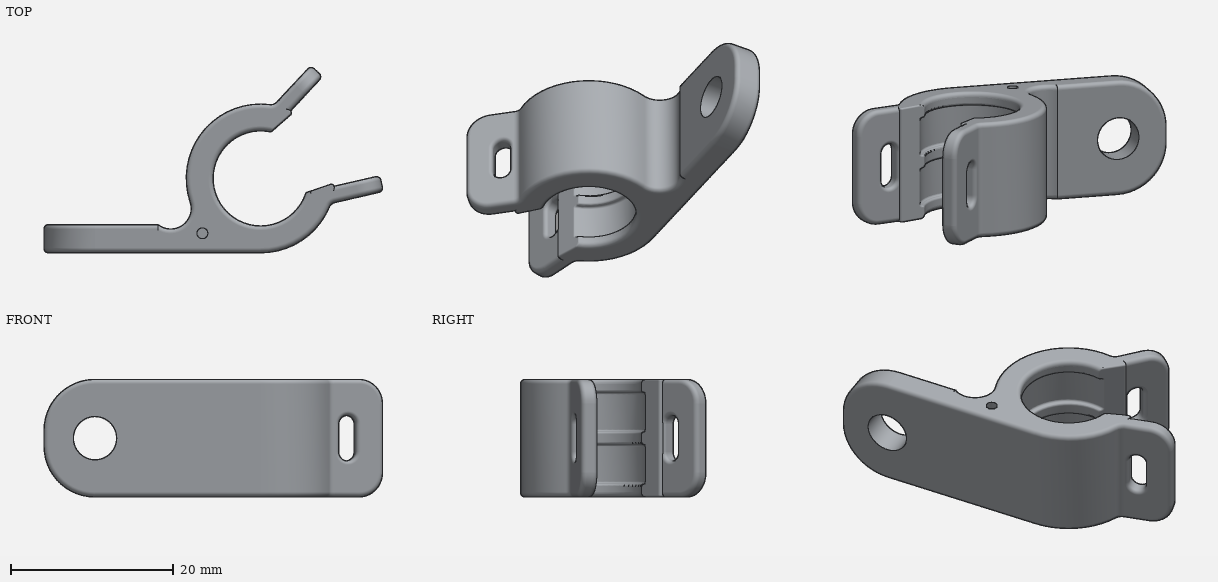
import cadquery as cq
import math

height = 14.5
edge_radius = 0.6

ring_outer_radius = 9.18
bore_radius = 5.85
groove_depth = 0.6
groove_bottom_z = 0.5
groove_top_z = 5.92

bar_thickness = 3.5
bar_end_distance = 26.7
bar_corner_radius = 6.3
screw_hole_diameter = 5.3
bar_hollow_radius = 2.5
bar_hollow_depth = 0.55

mouth_angle = 30.0
nose_radius = 0.35
nose_reach = 8.25
mouth_edge_radius = 0.2

tab_half_angle = 17.0
tab_inner_offset = 2.95
tab_thickness = 2.0
tab_reach = 14.4
tab_corner_radius = 3.0
tab_hollow_radius = 1.0
slot_reach = 9.95
slot_width = 2.15
slot_length = 5.6
slot_rim_radius = 0.5

pin_hole_diameter = 1.35
pin_hole_depth = 1.0
pin_hole_x = -7.18
pin_hole_y = -6.75

top = height / 2
bar_front = -ring_outer_radius
bar_back = bar_front + bar_thickness
screw_hole_x = bar_corner_radius - bar_end_distance
bar_middle_y = (bar_front + bar_back) / 2
tab_outer_offset = tab_inner_offset + tab_thickness
tab_middle_offset = (tab_inner_offset + tab_outer_offset) / 2
mouth_corner_along = math.sqrt(bore_radius**2 - tab_inner_offset**2)
UPPER = 1
LOWER = -1
SIDES = (UPPER, LOWER)


def polar(radius, angle):
    a = math.radians(angle)
    return radius * math.cos(a), radius * math.sin(a)


def beside_tab(along, offset, side):
    """Point given along a tab from the ring axis and outward from the mouth."""
    a = math.radians(mouth_angle + side * tab_half_angle)
    x = along * math.cos(a) - side * offset * math.sin(a)
    y = along * math.sin(a) + side * offset * math.cos(a)
    return x, y


def tab_hollow(side):
    """Ring end, middle and tab end of the hollow between the ring and a tab."""
    r = tab_hollow_radius
    centre_offset = tab_outer_offset + r
    centre_distance = ring_outer_radius + r
    centre_along = math.sqrt(centre_distance**2 - centre_offset**2)
    on_ring = ring_outer_radius / centre_distance
    turn = math.acos(centre_offset / centre_distance) / 2
    middle = (centre_along - r * math.sin(turn), centre_offset - r * math.cos(turn))
    return (
        beside_tab(centre_along * on_ring, centre_offset * on_ring, side),
        beside_tab(*middle, side),
        beside_tab(centre_along, tab_outer_offset, side),
    )


def bar_hollow():
    """Ring end, lowest point and bar end of the hollow between bar and ring."""
    r = bar_hollow_radius
    centre_y = bar_back - bar_hollow_depth + r
    centre_distance = ring_outer_radius + r
    centre_x = -math.sqrt(centre_distance**2 - centre_y**2)
    on_ring = ring_outer_radius / centre_distance
    bar_end_x = centre_x - math.sqrt(r**2 - (centre_y - bar_back) ** 2)
    return (centre_x * on_ring, centre_y * on_ring), (centre_x, centre_y - r), (bar_end_x, bar_back)


def ring_blank():
    """Outline of ring, tabs and the root of the bar, drawn through the full height."""
    lower_ring_end, lower_hollow_middle, lower_tab_root = tab_hollow(LOWER)
    upper_ring_end, upper_hollow_middle, upper_tab_root = tab_hollow(UPPER)
    bar_hollow_ring_end, bar_hollow_bottom, bar_hollow_bar_end = bar_hollow()
    ring_front = polar(ring_outer_radius, mouth_angle - 90)
    ring_back = polar(ring_outer_radius, mouth_angle + 120)
    bore_middle = polar(bore_radius, mouth_angle + 180)
    return (
        cq.Workplane("XY")
        .workplane(offset=-top)
        .moveTo(bar_hollow_bar_end[0], bar_front)
        .lineTo(0, bar_front)
        .threePointArc(ring_front, lower_ring_end)
        .threePointArc(lower_hollow_middle, lower_tab_root)
        .lineTo(*beside_tab(tab_reach, tab_outer_offset, LOWER))
        .lineTo(*beside_tab(tab_reach, tab_inner_offset, LOWER))
        .lineTo(*beside_tab(mouth_corner_along, tab_inner_offset, LOWER))
        .threePointArc(bore_middle, beside_tab(mouth_corner_along, tab_inner_offset, UPPER))
        .lineTo(*beside_tab(tab_reach, tab_inner_offset, UPPER))
        .lineTo(*beside_tab(tab_reach, tab_outer_offset, UPPER))
        .lineTo(*upper_tab_root)
        .threePointArc(upper_hollow_middle, upper_ring_end)
        .threePointArc(ring_back, bar_hollow_ring_end)
        .threePointArc(bar_hollow_bottom, bar_hollow_bar_end)
        .close()
        .extrude(height)
    )


def nearest_edge(part, point):
    return part.edges(cq.selectors.NearestToPointSelector(point))


def round_corner_pair(part, place, radius):
    """Round the top and bottom corners of the upright end face at a place."""
    for z in (-top, top):
        part = nearest_edge(part, (*place, z)).fillet(radius)
    return part


def round_runs(part, places):
    """Round whole tangent runs of edges, each known by its upright edge at a place."""
    edges = nearest_edge(part, (*places[0], 0))
    for place in places[1:]:
        edges = edges.add(nearest_edge(part, (*place, 0)))
    return edges.fillet(edge_radius)


def ring_with_tabs():
    part = ring_blank()
    tip_edges = []
    for side in SIDES:
        part = round_corner_pair(part, beside_tab(tab_reach, tab_middle_offset, side), tab_corner_radius)
        tip_edges.append(beside_tab(tab_reach, tab_outer_offset, side))
        tip_edges.append(beside_tab(tab_reach, tab_inner_offset, side))
    return round_runs(part, tip_edges)


def bar():
    """Mounting bar from its free end to the start of the hollow."""
    length = bar_end_distance + bar_hollow()[-1][0]
    part = (
        cq.Workplane("XY")
        .box(length, bar_thickness, height, centered=(False, True, True))
        .translate((-bar_end_distance, bar_middle_y, 0))
    )
    part = round_corner_pair(part, (-bar_end_distance, bar_middle_y), bar_corner_radius)
    return round_runs(part, [(-bar_end_distance, bar_front), (-bar_end_distance, bar_back)])


def tab_slot(side):
    """Solid of the upright slot that passes square through a tab."""
    normal_x, normal_y = beside_tab(0, 1, side)
    across = cq.Plane(
        origin=(*beside_tab(slot_reach, tab_inner_offset, side), 0),
        xDir=(0, 0, 1),
        normal=(normal_x, normal_y, 0),
    )
    return cq.Workplane(across).slot2D(slot_length, slot_width).extrude(tab_thickness)


def mouth_nose(side):
    """Wedge that fills a mouth face from the bore out to its round nose."""
    run = nose_reach - mouth_corner_along
    slope = -math.asin(nose_radius / run)
    start_along = nose_reach + nose_radius * math.sin(slope)
    start_offset = tab_inner_offset - nose_radius * math.cos(slope)
    middle_along, middle_offset = polar(nose_radius, math.degrees(slope) / 2 - 45)
    nose_end = nose_reach + nose_radius
    root_offset = tab_inner_offset + edge_radius
    wedge = (
        cq.Workplane("XY")
        .workplane(offset=-top)
        .moveTo(*beside_tab(mouth_corner_along, tab_inner_offset, side))
        .lineTo(*beside_tab(start_along, start_offset, side))
        .threePointArc(
            beside_tab(nose_reach + middle_along, tab_inner_offset + middle_offset, side),
            beside_tab(nose_end, tab_inner_offset, side),
        )
        .lineTo(*beside_tab(nose_end, root_offset, side))
        .lineTo(*beside_tab(mouth_corner_along, root_offset, side))
        .close()
        .extrude(height)
    )
    face_middle = beside_tab(
        (mouth_corner_along + start_along) / 2,
        (tab_inner_offset + start_offset) / 2,
        side,
    )
    for z in (-top, top):
        wedge = nearest_edge(wedge, (*face_middle, z)).fillet(mouth_edge_radius)
    return wedge


def bore():
    """Through bore with rounded ends."""
    rounding = edge_radius * (1 - math.sqrt(0.5))
    return (
        cq.Workplane("XZ")
        .moveTo(0, -top)
        .lineTo(bore_radius + edge_radius, -top)
        .threePointArc((bore_radius + rounding, rounding - top), (bore_radius, edge_radius - top))
        .lineTo(bore_radius, top - edge_radius)
        .threePointArc((bore_radius + rounding, top - rounding), (bore_radius + edge_radius, top))
        .lineTo(0, top)
        .close()
        .revolve(360, (0, 0), (0, 1))
    )


def bore_groove():
    """Groove above mid height; each flank is a convex then a concave quarter round."""
    r = groove_depth / 2
    bend = r * math.sqrt(0.5)
    middle = bore_radius + r
    floor = bore_radius + groove_depth
    floor_bottom_z = groove_bottom_z + groove_depth
    floor_top_z = groove_top_z - groove_depth
    return (
        cq.Workplane("XZ")
        .moveTo(0, groove_bottom_z)
        .lineTo(bore_radius, groove_bottom_z)
        .threePointArc((middle - bend, groove_bottom_z + bend), (middle, groove_bottom_z + r))
        .threePointArc((middle + bend, floor_bottom_z - bend), (floor, floor_bottom_z))
        .lineTo(floor, floor_top_z)
        .threePointArc((middle + bend, floor_top_z + bend), (middle, groove_top_z - r))
        .threePointArc((middle - bend, groove_top_z - bend), (bore_radius, groove_top_z))
        .lineTo(0, groove_top_z)
        .close()
        .revolve(360, (0, 0), (0, 1))
    )


def screw_hole():
    return (
        cq.Workplane("XZ", origin=(screw_hole_x, bar_back, 0))
        .circle(screw_hole_diameter / 2)
        .extrude(bar_thickness)
    )


def pin_hole():
    return (
        cq.Workplane("XY", origin=(pin_hole_x, pin_hole_y, top))
        .circle(pin_hole_diameter / 2)
        .extrude(-pin_hole_depth)
    )


def cut_slots(part):
    """Cut both slots and round their rims on each tab face."""
    for side in SIDES:
        part = part.cut(tab_slot(side))
        for offset in (tab_inner_offset, tab_outer_offset):
            rim_side = beside_tab(slot_reach - slot_width / 2, offset, side)
            part = nearest_edge(part, (*rim_side, 0)).fillet(slot_rim_radius)
    return part


def round_bore_corner(part, side):
    """Round the run of edges where the bore and its grooves meet a mouth face."""
    rib_corner = beside_tab(mouth_corner_along, tab_inner_offset, side)
    return nearest_edge(part, (*rib_corner, 0)).fillet(mouth_edge_radius)


clip = cut_slots(ring_with_tabs()).union(bar())
for side in SIDES:
    clip = clip.union(mouth_nose(side))
clip = clip.cut(bore()).cut(bore_groove()).cut(bore_groove().mirror("XY"))
for side in SIDES:
    clip = round_bore_corner(clip, side)
result = clip.cut(screw_hole()).cut(pin_hole())